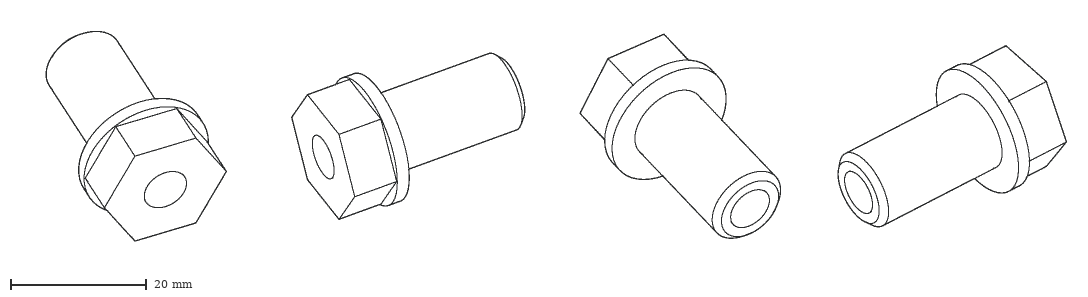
import cadquery as cq
import math

total_length = 31.0
head_length = 7.0
flange_thickness = 2.0
shank_length = total_length - head_length - flange_thickness

shank_diameter = 12.0
flange_diameter = 20.0
head_across_flats = 17.0
head_across_corners = head_across_flats / math.cos(math.pi / 6)
bore_diameter = 6.8
tip_chamfer = 1.0

shank = (
    cq.Workplane("YZ")
    .circle(shank_diameter / 2)
    .extrude(shank_length)
    .faces("<X")
    .chamfer(tip_chamfer)
)

flange = (
    cq.Workplane("YZ")
    .workplane(offset=shank_length)
    .circle(flange_diameter / 2)
    .extrude(flange_thickness)
)

head = (
    cq.Workplane("YZ")
    .workplane(offset=shank_length + flange_thickness)
    .polygon(6, head_across_corners)
    .extrude(head_length)
)

bore = cq.Workplane("YZ").circle(bore_diameter / 2).extrude(total_length)

result = shank.union(flange).union(head).cut(bore)